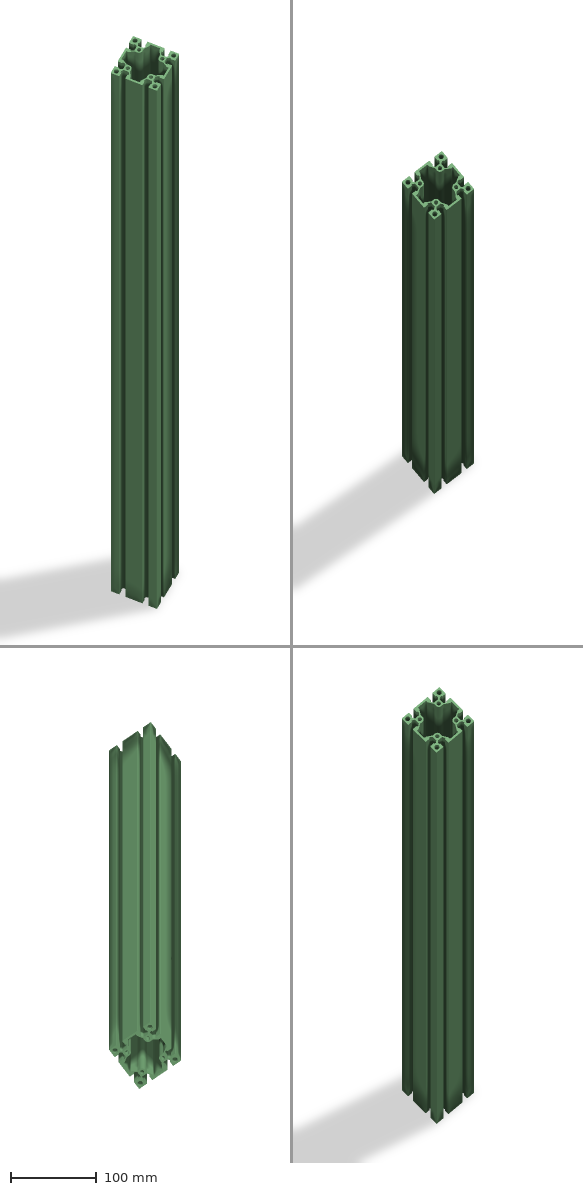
import cadquery as cq
import math

side = 60.0
length = 1000.0
edge_radius = 0.5

slot_offset = 15.0
slot_depth = 10.5
mouth_width = 7.6
lip_thickness = 6.0
cavity_width = 10.0
cavity_side_height = 2.0
floor_width = 6.6

outer_wall = 2.5
arm_width = 21.0
arm_tip_width = 13.0
arm_tip_depth = 2.5
arm_taper_length = 6.5
hollow_corner_radius = 4.5

corner_bore_diameter = 6.0
corner_bore_offset = 25.0
core_bore_diameter = 5.0

half_side = side / 2


def quarter_turns(shape):
    """The shape in its four positions around the Z axis."""
    return [shape.rotate((0, 0, 0), (0, 0, 1), 90 * turn) for turn in range(4)]


def make_slot():
    """T-slot opening towards +Y, centred on X = 0, with rounded mouth edges."""
    mouth = mouth_width / 2
    cavity = cavity_width / 2
    floor = floor_width / 2
    mouth_start = half_side - edge_radius
    lip_bottom = half_side - lip_thickness
    cavity_side_end = lip_bottom - cavity_side_height
    slot_bottom = half_side - slot_depth
    arc_inset = edge_radius * (1 - math.sqrt(0.5))
    return (
        cq.Workplane("XY")
        .moveTo(mouth + edge_radius, half_side)
        .threePointArc((mouth + arc_inset, half_side - arc_inset), (mouth, mouth_start))
        .lineTo(mouth, lip_bottom)
        .lineTo(cavity, lip_bottom)
        .lineTo(cavity, cavity_side_end)
        .lineTo(floor, slot_bottom)
        .lineTo(-floor, slot_bottom)
        .lineTo(-cavity, cavity_side_end)
        .lineTo(-cavity, lip_bottom)
        .lineTo(-mouth, lip_bottom)
        .lineTo(-mouth, mouth_start)
        .threePointArc((-mouth - arc_inset, half_side - arc_inset), (-mouth - edge_radius, half_side))
        .close()
        .extrude(length)
    )


def make_hollow_arm():
    """Arm of the hollow from the axis towards +Y, narrowing towards its tip."""
    root = arm_width / 2
    tip = arm_tip_width / 2
    arm_end = half_side - outer_wall
    taper_end = arm_end - arm_tip_depth
    taper_start = taper_end - arm_taper_length
    right_side = [(root, 0), (root, taper_start), (tip, taper_end), (tip, arm_end)]
    left_side = [(-x, y) for x, y in reversed(right_side)]
    return cq.Workplane("XY").polyline(right_side + left_side).close().extrude(length)


def make_hollow():
    """Central cross of four arms, with the corners where the arms meet rounded."""
    arms = quarter_turns(make_hollow_arm())
    hollow = arms[0]
    for arm in arms[1:]:
        hollow = hollow.union(arm)
    root = arm_width / 2
    for x in (-root, root):
        for y in (-root, root):
            meeting_edge = cq.selectors.NearestToPointSelector((x, y, length / 2))
            hollow = hollow.edges(meeting_edge).fillet(hollow_corner_radius)
    return hollow


def make_bore(offset, diameter):
    """Round bore along Z, equally far from both centre planes."""
    return cq.Workplane("XY").center(offset, offset).circle(diameter / 2).extrude(length)


slot = make_slot()
repeated_cutters = [
    slot.translate((-slot_offset, 0, 0)),
    slot.translate((slot_offset, 0, 0)),
    make_bore(corner_bore_offset, corner_bore_diameter),
    make_bore(slot_offset, core_bore_diameter),
]

result = cq.Workplane("XY").rect(side, side).extrude(length).edges("|Z").fillet(edge_radius)
result = result.cut(make_hollow())
for repeated_cutter in repeated_cutters:
    for cutter in quarter_turns(repeated_cutter):
        result = result.cut(cutter)